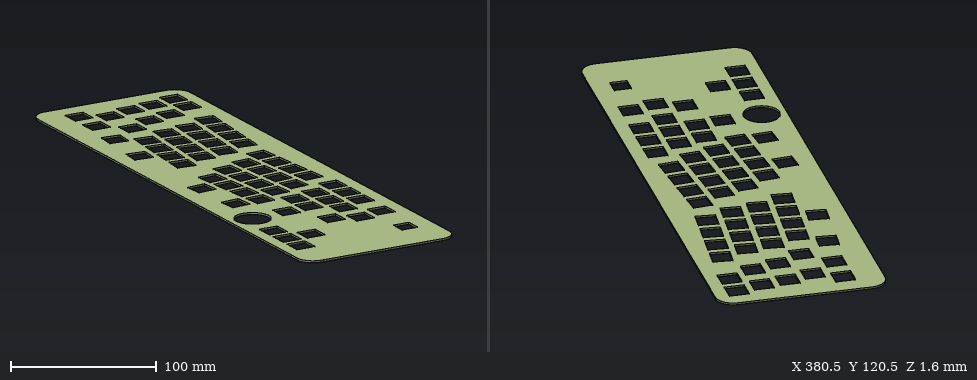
import cadquery as cq

PLATE_LENGTH = 380.5
PLATE_WIDTH = 120.5
PLATE_THICKNESS = 1.6
CORNER_RADIUS = 12.5

KEY_PITCH = 19.0
KEY_HOLE = 14.0
HALF_TILT = 5.0

LEFT_EDGE_ORIGIN = (-171.5, 43.5)
LEFT_HALF_ORIGIN = (-118.5, 40.5)
RIGHT_HALF_ORIGIN = (-34.0, 33.0)
RIGHT_EDGE_ORIGIN = (48.3, 42.5)
ARROW_ORIGIN = (135.5, -24.7)

LEFT_EDGE_ROWS = [
    [0, 1],
    [0.25, 1.5],
    [0.375, 1.75],
    [0.625, 2.25],
    [0.125, 1.375],
]
RIGHT_EDGE_ROWS = [
    [0, 1, 2, 3.5],
    [0.5, 1.5, 2.5, 3.75],
    [0.75, 1.75, 3.375],
    [1.875],
]
ARROW_ROWS = [
    [0],
    [-1, 0, 1],
]

HALF_ROW_STARTS = [0, 0.5, 0.75, 1.25]
KEYS_PER_HALF_ROW = 4
THUMB_SPACING = 2.125
LEFT_THUMB_START = 0.625
RIGHT_THUMB_START = 2.0

KNOB_HOLE_DIAMETER = 25.5
KNOB_CENTRE = (86.0, -42.5)
SMALL_HOLE = 12.0
SMALL_HOLE_CENTRE = (153.3, 39.5)


def half_rows(thumb_start):
    """Key positions of one tilted half, including its thumb row."""
    rows = [[start + key for key in range(KEYS_PER_HALF_ROW)] for start in HALF_ROW_STARTS]
    rows.append([thumb_start, thumb_start + THUMB_SPACING])
    return rows


def key_block(origin, rows, tilt=0.0):
    """Cutters for a block of key holes, turned by tilt degrees about its origin."""
    centres = [
        (column * KEY_PITCH, -row * KEY_PITCH)
        for row, columns in enumerate(rows)
        for column in columns
    ]
    return (
        cq.Workplane("XY")
        .pushPoints(centres)
        .rect(KEY_HOLE, KEY_HOLE)
        .extrude(PLATE_THICKNESS)
        .rotate((0, 0, 0), (0, 0, 1), tilt)
        .translate((*origin, 0))
    )


plate = (
    cq.Workplane("XY")
    .rect(PLATE_LENGTH, PLATE_WIDTH)
    .extrude(PLATE_THICKNESS)
    .edges("|Z")
    .fillet(CORNER_RADIUS)
)

key_blocks = [
    key_block(LEFT_EDGE_ORIGIN, LEFT_EDGE_ROWS),
    key_block(LEFT_HALF_ORIGIN, half_rows(LEFT_THUMB_START), -HALF_TILT),
    key_block(RIGHT_HALF_ORIGIN, half_rows(RIGHT_THUMB_START), HALF_TILT),
    key_block(RIGHT_EDGE_ORIGIN, RIGHT_EDGE_ROWS),
    key_block(ARROW_ORIGIN, ARROW_ROWS),
]
for block in key_blocks:
    plate = plate.cut(block)

knob_hole = (
    cq.Workplane("XY")
    .center(*KNOB_CENTRE)
    .circle(KNOB_HOLE_DIAMETER / 2)
    .extrude(PLATE_THICKNESS)
)
small_hole = (
    cq.Workplane("XY")
    .center(*SMALL_HOLE_CENTRE)
    .rect(SMALL_HOLE, SMALL_HOLE)
    .extrude(PLATE_THICKNESS)
)

result = plate.cut(knob_hole).cut(small_hole)